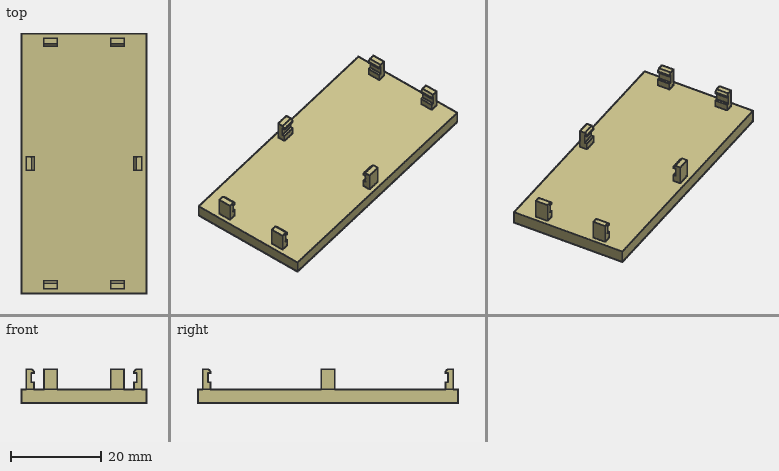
import cadquery as cq

plate_width = 27.8
plate_length = 57.7
plate_thickness = 3.0
overall_height = 7.5

clip_height = overall_height - plate_thickness
clip_width = 3.0
clip_depth = 1.8
neck_depth = 1.2
edge_inset = 1.05
end_clip_offset = 7.4

notch_bottom = 1.6
notch_top = 3.65
lead_in = 0.5


def make_clip():
    """Clip with its outer face on X = 0 and its hook pointing towards +X."""
    return (
        cq.Workplane("XZ")
        .moveTo(0, 0)
        .lineTo(clip_depth, 0)
        .lineTo(clip_depth, notch_bottom)
        .lineTo(neck_depth, notch_bottom)
        .lineTo(neck_depth, notch_top)
        .lineTo(clip_depth, notch_top)
        .lineTo(clip_depth, clip_height - lead_in)
        .lineTo(clip_depth - lead_in, clip_height)
        .lineTo(0, clip_height)
        .close()
        .extrude(clip_width / 2, both=True)
    )


def place_clip(x, y, hook_angle):
    """Turn the hook to the given angle and stand the clip on the plate."""
    turned = make_clip().rotate((0, 0, 0), (0, 0, 1), hook_angle)
    return turned.translate((x, y, plate_thickness))


side_x = plate_width / 2 - edge_inset
end_y = plate_length / 2 - edge_inset

clip_placements = [(-side_x, 0, 0), (side_x, 0, 180)]
for end_x in (-end_clip_offset, end_clip_offset):
    clip_placements.append((end_x, -end_y, 90))
    clip_placements.append((end_x, end_y, -90))

result = cq.Workplane("XY").box(
    plate_width, plate_length, plate_thickness, centered=(True, True, False)
)
for x, y, hook_angle in clip_placements:
    result = result.union(place_clip(x, y, hook_angle))